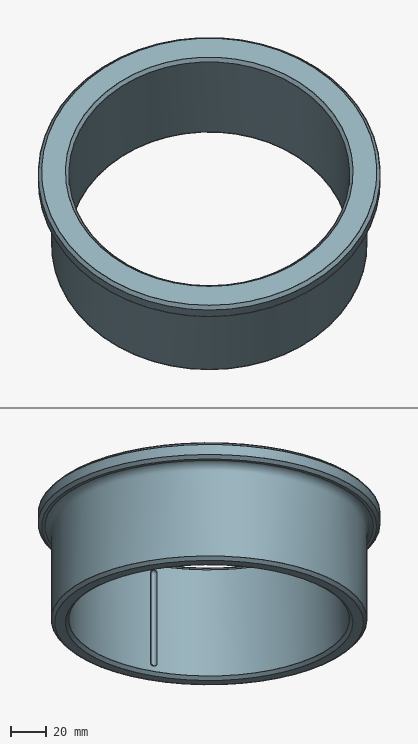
import cadquery as cq
import math

height = 70.0
flange_diameter = 195.0
sleeve_diameter = 180.0
bore_diameter = 160.0
flange_thickness = 10.1
edge_chamfer = 2.0
neck_radius = 5.0
neck_height = 4.9

groove_diameter = 3.9
groove_bottom = 5.5
groove_top = 65.1

flange_radius = flange_diameter / 2
sleeve_radius = sleeve_diameter / 2
bore_radius = bore_diameter / 2
groove_radius = groove_diameter / 2
flange_bottom = height - flange_thickness


def make_sleeve():
    """Revolve the ring's cross-section, with its chamfers and curved neck."""
    neck_bottom = flange_bottom - neck_height
    end_angle = math.asin(neck_height / neck_radius)

    def neck_point(angle):
        return (
            sleeve_radius + neck_radius * (1 - math.cos(angle)),
            neck_bottom + neck_radius * math.sin(angle),
        )

    profile = (
        cq.Workplane("XZ")
        .moveTo(bore_radius, edge_chamfer)
        .lineTo(bore_radius + edge_chamfer, 0)
        .lineTo(sleeve_radius - edge_chamfer, 0)
        .lineTo(sleeve_radius, edge_chamfer)
        .lineTo(sleeve_radius, neck_bottom)
        .threePointArc(neck_point(end_angle / 2), neck_point(end_angle))
        .lineTo(flange_radius - edge_chamfer, flange_bottom)
        .lineTo(flange_radius, flange_bottom + edge_chamfer)
        .lineTo(flange_radius, height - edge_chamfer)
        .lineTo(flange_radius - edge_chamfer, height)
        .lineTo(bore_radius + edge_chamfer, height)
        .lineTo(bore_radius, height - edge_chamfer)
        .close()
    )
    return profile.revolve(360, (0, 0), (0, 1))


def make_groove_cutter():
    """Vertical round-ended pin centred on the bore surface."""
    pin = (
        cq.Workplane("XY", origin=(bore_radius, 0, groove_bottom + groove_radius))
        .circle(groove_radius)
        .extrude(groove_top - groove_bottom - groove_diameter)
    )
    for end_height in (groove_bottom + groove_radius, groove_top - groove_radius):
        ball = cq.Workplane("XY", origin=(bore_radius, 0, end_height)).sphere(groove_radius)
        pin = pin.union(ball)
    return pin


result = make_sleeve().cut(make_groove_cutter())